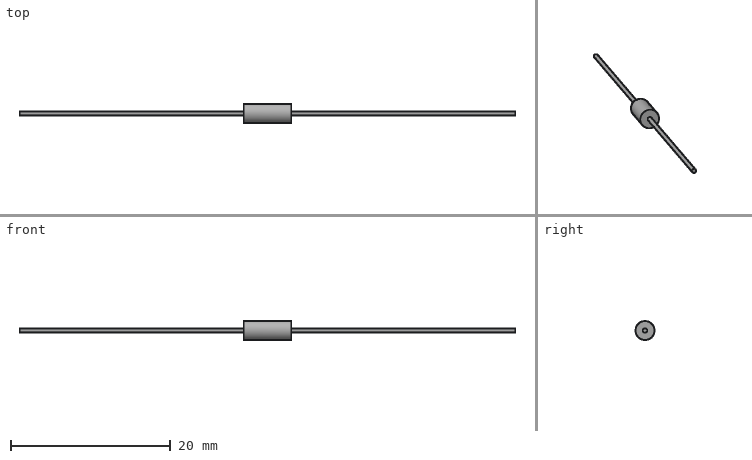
import cadquery as cq

overall_length = 62.0
body_length = 6.0
body_diameter = 2.4
lead_diameter = 0.55
lead_length = (overall_length - body_length) / 2


def rod_along_x(start_x, length, diameter):
    """Plain cylinder on the X axis, from start_x towards +X."""
    return cq.Workplane("YZ", origin=(start_x, 0, 0)).circle(diameter / 2).extrude(length)


def make_body():
    """Cylindrical package with flat ends."""
    return rod_along_x(-body_length / 2, body_length, body_diameter)


def make_lead(start_x):
    """Straight wire lead that butts against an end face of the body."""
    return rod_along_x(start_x, lead_length, lead_diameter)


body = make_body()

lead_starts = [-overall_length / 2, body_length / 2]
leads = [make_lead(start_x) for start_x in lead_starts]

result = cq.Compound.makeCompound([body.val(), *[lead.val() for lead in leads]])